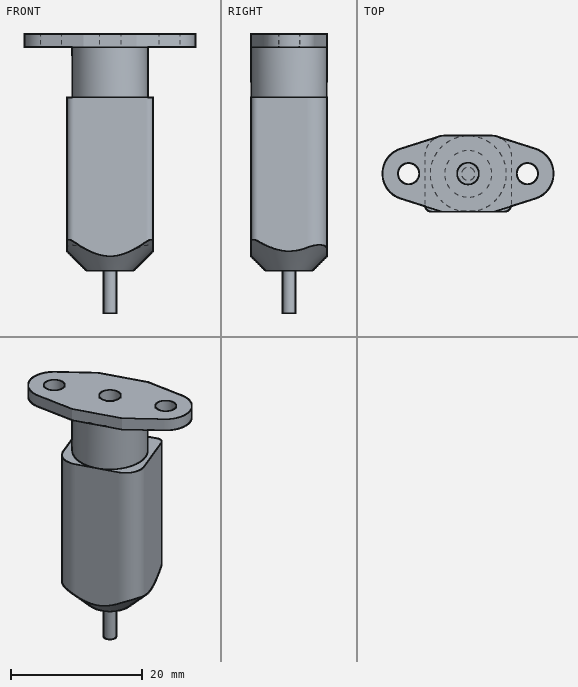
import cadquery as cq
import math

total_height = 42.4

flange_length = 26.0
flange_width = 11.55
flange_thickness = 2.0
flange_flat_length = 8.05
flange_end_radius = 4.0
mount_hole_diameter = 3.2

neck_diameter = 11.55
centre_hole_diameter = 3.3

body_length = 13.1
body_width = 11.58
body_height = 26.35
front_corner_radius = 1.0
back_corner_radius = 3.0
nose_tip_radius = 3.55

pin_diameter = 2.0
pin_length = 6.45

body_top = pin_length + body_height
flange_bottom = total_height - flange_thickness
mount_hole_x = flange_length / 2 - flange_end_radius


def cylinder(diameter, bottom, top):
    return cq.Workplane("XY").workplane(offset=bottom).circle(diameter / 2).extrude(top - bottom)


def make_flange():
    """Plate with straight sides tangent to its two round ends."""
    flat_x = flange_flat_length / 2
    flat_y = flange_width / 2

    run = mount_hole_x - flat_x
    corner_distance = math.hypot(run, flat_y)
    corner_angle = math.atan2(flat_y, -run)
    tangent_angle = corner_angle - math.acos(flange_end_radius / corner_distance)
    tangent_x = mount_hole_x + flange_end_radius * math.cos(tangent_angle)
    tangent_y = flange_end_radius * math.sin(tangent_angle)
    end_x = flange_length / 2

    plate = (
        cq.Workplane("XY")
        .workplane(offset=flange_bottom)
        .moveTo(-flat_x, flat_y)
        .lineTo(flat_x, flat_y)
        .lineTo(tangent_x, tangent_y)
        .threePointArc((end_x, 0), (tangent_x, -tangent_y))
        .lineTo(flat_x, -flat_y)
        .lineTo(-flat_x, -flat_y)
        .lineTo(-tangent_x, -tangent_y)
        .threePointArc((-end_x, 0), (-tangent_x, tangent_y))
        .close()
        .extrude(flange_thickness)
    )
    for x in (-mount_hole_x, mount_hole_x):
        plate = plate.cut(cylinder(mount_hole_diameter, flange_bottom, total_height).translate((x, 0, 0)))
    return plate


def make_body():
    """Rounded block whose lower end is trimmed by a 45 degree cone."""
    block = (
        cq.Workplane("XY")
        .workplane(offset=pin_length)
        .rect(body_length, body_width)
        .extrude(body_height)
    )
    block = block.edges("|Z and <Y").fillet(front_corner_radius)
    block = block.edges("|Z and >Y").fillet(back_corner_radius)

    nose_envelope = (
        cq.Workplane("XZ")
        .moveTo(0, pin_length)
        .lineTo(nose_tip_radius, pin_length)
        .lineTo(nose_tip_radius + body_height, body_top)
        .lineTo(0, body_top)
        .close()
        .revolve(360, (0, 0), (0, 1))
    )
    return block.intersect(nose_envelope)


neck = cylinder(neck_diameter, body_top, flange_bottom)
pin = cylinder(pin_diameter, 0, pin_length)
centre_hole = cylinder(centre_hole_diameter, flange_bottom, total_height)

result = make_body().union(neck).union(make_flange()).union(pin).cut(centre_hole)